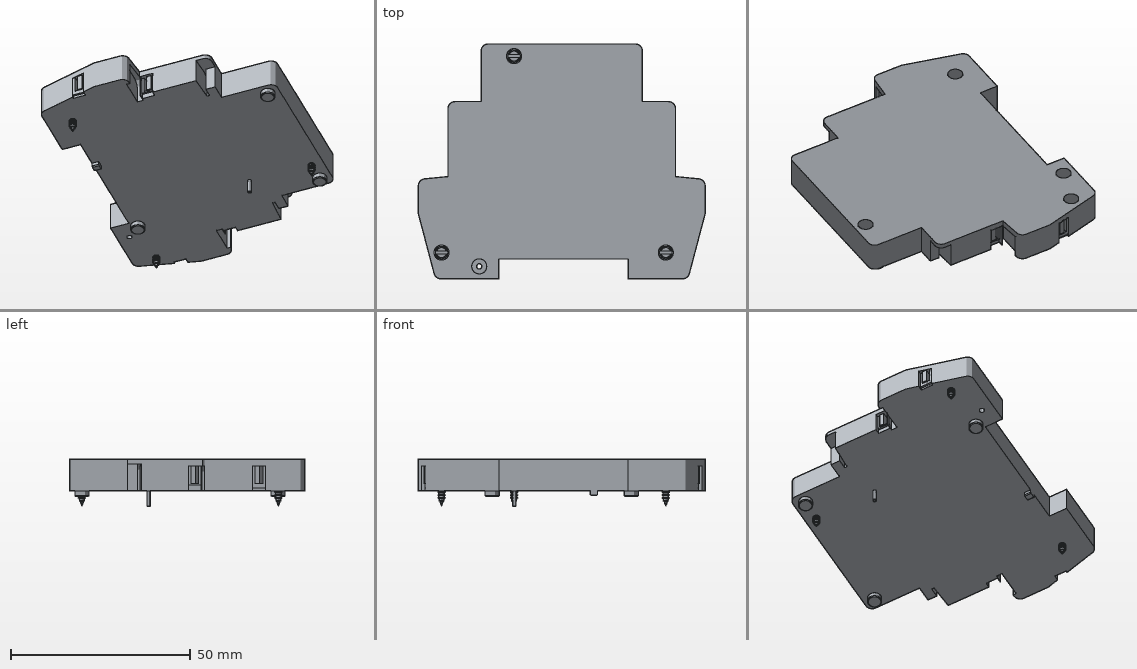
import cadquery as cq

LENGTH = 80.0
HEIGHT = 65.5
THICKNESS = 8.8
BOTTOM_HALF_WIDTH = 35.2
FLANK_TOP_Y = 18.2
SHOULDER_OUTER_Y = 27.75
SHOULDER_INNER_Y = 28.55
MIDDLE_HALF_WIDTH = 31.75
MIDDLE_TOP_Y = 49.45
TOP_HALF_WIDTH = 22.5
CORNER_RADIUS = 2.0

NOTCH_WIDTH = 36.0
NOTCH_DEPTH = 5.5
NOTCH_CENTER_X = 0.5

SCREW_POINTS = [(-13.3, 62.1), (-33.5, 7.35), (29.0, 7.35)]
COUNTERBORE_DIAMETER = 4.2
COUNTERBORE_FLOOR_Z = 3.0
OPEN_HOLE_POINT = (-23.0, 3.5)
OPEN_HOLE_DIAMETER = 1.4

HEAD_DIAMETER = 3.5
HEAD_HEIGHT = 1.6
HEAD_CHAMFER = 0.35
DRIVER_SLOT_WIDTH = 0.75
DRIVER_SLOT_DEPTH = 0.6
CORE_RADIUS = 0.8
THREAD_RADIUS = 1.05
THREAD_PITCH = 0.8
THREAD_FLANK = 0.15
THREAD_COUNT = 5
FIRST_THREAD_Z = -0.4
TAPER_START_Z = -2.2
SCREW_TIP_Z = -4.2

PEG_POINTS = [(-19.4, 62.1), (19.4, 62.1), (-19.4, 7.45)]
PEG_DIAMETER = 4.0
PEG_LENGTH = 1.6
PEG_CHAMFER = 0.25
PIN_POINT = (-13.2, 43.5)
PIN_DIAMETER = 1.0
PIN_LENGTH = 4.4
PIN_CHAMFER = 0.2
TAB_CENTER_X = 8.95
TAB_WIDTH = 2.1
TAB_DEPTH = 2.0
TAB_LENGTH = 1.3
TAB_CHAMFER = 0.3

SLOT_WIDTH = 3.6
SLOT_TOP_Z = 6.95
FLANK_SLOT = {"floor_x": -38.05, "upper_y": 14.6, "ledge_z": 0.8}
WALL_SLOT = {"floor_x": -30.75, "upper_y": 32.45, "ledge_z": 1.55}
WINDOW_BOTTOM_Z = 2.05
PANEL_UPPER_OFFSET = 0.7
PANEL_LOWER_OFFSET = 2.05
WINDOW_WIDTH = 2.9
PANEL_PROUD = 0.3
WINDOW_DEPTH = 6.0
CHUTE_DEPTH = 0.5

LIP_THICKNESS = 1.35
RECESS_FLOOR_X = -27.3
RECESS_LOWER_Y = 46.65
GROOVE_LOWER_Y = 45.5
GROOVE_DRAFT = 0.4
GROOVE_FLOOR_X = -24.5
GROOVE_CEILING_RADIUS = 2.4
SHOULDER_GROOVE_OUTER_X = -37.5
SHOULDER_GROOVE_FLOOR_X = -29.5
SHOULDER_GROOVE_LOWER_Y = 27.0
SHOULDER_GROOVE_UPPER_Y = 28.7
SHOULDER_GROOVE_DRAFT = 0.0


def box(x_range, y_range, z_range):
    """Box spanning three coordinate ranges."""
    sizes = [high - low for low, high in (x_range, y_range, z_range)]
    return cq.Workplane("XY").box(*sizes, centered=False).translate((x_range[0], y_range[0], z_range[0]))


def cylinder(point, diameter, bottom_z, top_z):
    """Upright cylinder at an (x, y) point."""
    return cq.Workplane("XY", origin=(*point, bottom_z)).circle(diameter / 2).extrude(top_z - bottom_z)


def both_sides(feature):
    """The feature together with its mirror image across X = 0."""
    return feature.union(feature.mirror("YZ"))


def make_housing():
    """Stepped plate with rounded outer corners and a rail notch."""
    right_side = [
        (BOTTOM_HALF_WIDTH, 0),
        (LENGTH / 2, FLANK_TOP_Y),
        (LENGTH / 2, SHOULDER_OUTER_Y),
        (MIDDLE_HALF_WIDTH, SHOULDER_INNER_Y),
        (MIDDLE_HALF_WIDTH, MIDDLE_TOP_Y),
        (TOP_HALF_WIDTH, MIDDLE_TOP_Y),
        (TOP_HALF_WIDTH, HEIGHT),
    ]
    left_side = [(-x, y) for x, y in reversed(right_side)]
    plate = cq.Workplane("XY").polyline(right_side + left_side).close().extrude(THICKNESS)
    rounded_corners = [right_side[0], right_side[2], right_side[4], right_side[6]]
    for x, y in rounded_corners:
        for side in (-1, 1):
            corner = cq.selectors.NearestToPointSelector((side * x, y, THICKNESS / 2))
            plate = plate.edges("|Z").edges(corner).fillet(CORNER_RADIUS)
    notch_left = NOTCH_CENTER_X - NOTCH_WIDTH / 2
    notch = box((notch_left, notch_left + NOTCH_WIDTH), (0, NOTCH_DEPTH), (0, THICKNESS))
    return plate.cut(notch)


def make_contact_slot(floor_x, upper_y, ledge_z):
    """Left-hand slot with a proud contact panel beside a deep, drafted window."""
    lower_y = upper_y - SLOT_WIDTH
    panel_upper_y = upper_y - PANEL_UPPER_OFFSET
    panel_lower_y = upper_y - PANEL_LOWER_OFFSET
    outer_x = -LENGTH / 2
    slot = box((outer_x, floor_x), (lower_y, upper_y), (0, SLOT_TOP_Z))
    panel = box(
        (floor_x - PANEL_PROUD, floor_x),
        (panel_lower_y, panel_upper_y),
        (WINDOW_BOTTOM_Z, SLOT_TOP_Z),
    )
    chute = box((outer_x, floor_x + CHUTE_DEPTH), (lower_y, upper_y), (0, ledge_z))
    window = (
        cq.Workplane("XY", origin=(0, 0, WINDOW_BOTTOM_Z))
        .moveTo(floor_x, panel_lower_y)
        .lineTo(floor_x + WINDOW_DEPTH, panel_lower_y)
        .lineTo(floor_x, upper_y - WINDOW_WIDTH)
        .close()
        .extrude(SLOT_TOP_Z - WINDOW_BOTTOM_Z)
    )
    return slot.cut(panel).union(chute).union(window)


def make_groove(x_range, y_range, top_z, draft):
    """Groove open below, with a drafted lower wall and its inner ceiling edge rounded."""
    outer_x, floor_x = x_range
    lower_y, upper_y = y_range
    outline = [(outer_x, lower_y), (floor_x, lower_y + draft), (floor_x, upper_y), (outer_x, upper_y)]
    groove = cq.Workplane("XY").polyline(outline).close().extrude(top_z)
    return groove.edges(">X and >Z").fillet(GROOVE_CEILING_RADIUS)


def make_lip_recesses():
    """Left-hand recess under the middle step and groove under the shoulder."""
    lip_z = THICKNESS - LIP_THICKNESS
    middle_x = -MIDDLE_HALF_WIDTH
    recess = box((middle_x, RECESS_FLOOR_X), (RECESS_LOWER_Y, MIDDLE_TOP_Y), (0, lip_z))
    groove = make_groove(
        (middle_x, GROOVE_FLOOR_X),
        (GROOVE_LOWER_Y, RECESS_LOWER_Y),
        lip_z,
        GROOVE_DRAFT,
    )
    shoulder_groove = make_groove(
        (SHOULDER_GROOVE_OUTER_X, SHOULDER_GROOVE_FLOOR_X),
        (SHOULDER_GROOVE_LOWER_Y, SHOULDER_GROOVE_UPPER_Y),
        SLOT_TOP_Z,
        SHOULDER_GROOVE_DRAFT,
    )
    return recess.union(groove).union(shoulder_groove)


def make_screw(point):
    """Slotted screw with ring-shaped threads that shrink towards the tip."""
    head_top_z = COUNTERBORE_FLOOR_Z + HEAD_HEIGHT
    head = cylinder(point, HEAD_DIAMETER, COUNTERBORE_FLOOR_Z, head_top_z).faces(">Z").chamfer(HEAD_CHAMFER)
    driver_slot = (
        cq.Workplane("XY", origin=(*point, head_top_z - DRIVER_SLOT_DEPTH))
        .rect(HEAD_DIAMETER, DRIVER_SLOT_WIDTH)
        .extrude(DRIVER_SLOT_DEPTH)
    )

    def taper(z):
        return min(1.0, (z - SCREW_TIP_Z) / (TAPER_START_Z - SCREW_TIP_Z))

    profile = [(0, COUNTERBORE_FLOOR_Z), (CORE_RADIUS, COUNTERBORE_FLOOR_Z)]
    for index in range(THREAD_COUNT):
        crest_z = FIRST_THREAD_Z - index * THREAD_PITCH
        upper_z = crest_z + THREAD_FLANK
        lower_z = crest_z - THREAD_FLANK
        profile.append((CORE_RADIUS * taper(upper_z), upper_z))
        profile.append((THREAD_RADIUS * taper(crest_z), crest_z))
        profile.append((CORE_RADIUS * taper(lower_z), lower_z))
    profile.append((0, SCREW_TIP_Z))
    shank = cq.Workplane("XZ").polyline(profile).close().revolve(360, (0, 0), (0, 1))
    return head.cut(driver_slot).union(shank.translate((*point, 0)))


def make_peg(point, diameter, length, chamfer):
    """Round peg below the housing with a chamfered end."""
    return cylinder(point, diameter, -length, 0).faces("<Z").chamfer(chamfer)


def make_tab():
    """Small tab below the housing, flush with the notch floor."""
    tab_left = TAB_CENTER_X - TAB_WIDTH / 2
    tab = box((tab_left, tab_left + TAB_WIDTH), (NOTCH_DEPTH, NOTCH_DEPTH + TAB_DEPTH), (-TAB_LENGTH, 0))
    return tab.edges("<Z and |Y").chamfer(TAB_CHAMFER)


housing = make_housing()
for slot_sizes in (FLANK_SLOT, WALL_SLOT):
    housing = housing.cut(both_sides(make_contact_slot(**slot_sizes)))
housing = housing.cut(both_sides(make_lip_recesses()))

for hole_point in SCREW_POINTS + [OPEN_HOLE_POINT]:
    housing = housing.cut(cylinder(hole_point, COUNTERBORE_DIAMETER, COUNTERBORE_FLOOR_Z, THICKNESS))
housing = housing.cut(cylinder(OPEN_HOLE_POINT, OPEN_HOLE_DIAMETER, 0, THICKNESS))

for screw_point in SCREW_POINTS:
    housing = housing.union(make_screw(screw_point))
for peg_point in PEG_POINTS:
    housing = housing.union(make_peg(peg_point, PEG_DIAMETER, PEG_LENGTH, PEG_CHAMFER))
housing = housing.union(make_peg(PIN_POINT, PIN_DIAMETER, PIN_LENGTH, PIN_CHAMFER))

result = housing.union(make_tab())